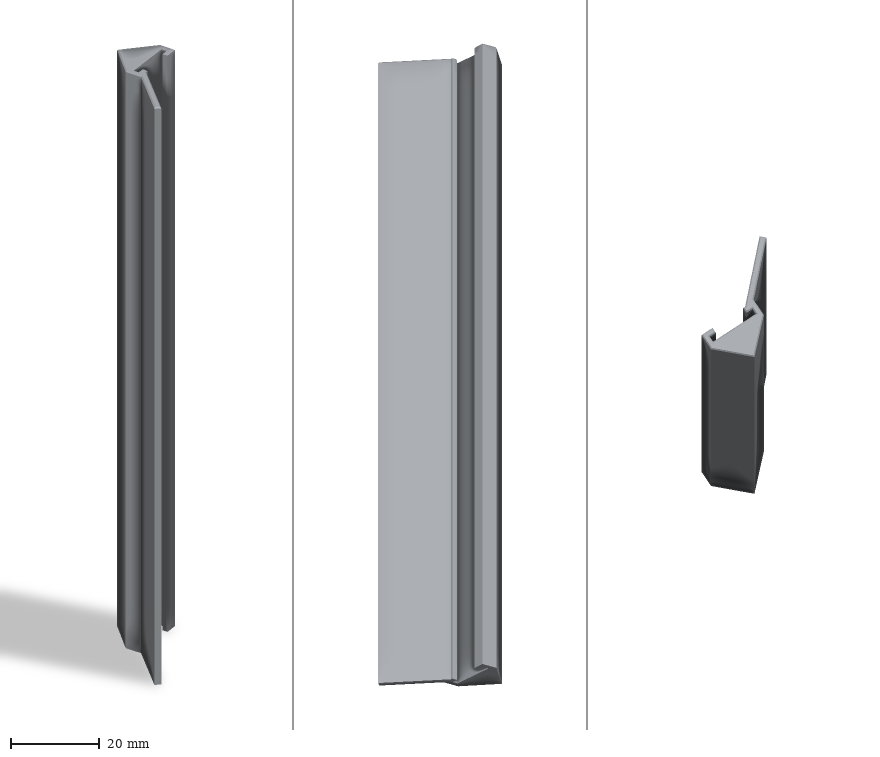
import cadquery as cq

length = 150.0
width = 22.5
depth = 24.6
channel_height = 14.2
channel_width = 10.8
nose_run = 6.9
wall = 1.4
lip_depth = 3.0
slot_floor_x = 8.1
arm_tip_offset = 1.12
end_chamfer = 0.3

nose_y = -channel_height / 2
lip_inner_x = channel_width - wall
tip_low_x = width - arm_tip_offset
tip_high_y = -depth + arm_tip_offset
arm_low_start_x = tip_low_x - (depth - channel_height)
arm_high_start_y = tip_high_y + (width - channel_width)

outline = [
    (0, nose_y),
    (nose_run, 0),
    (channel_width, 0),
    (channel_width, -lip_depth),
    (lip_inner_x, -lip_depth),
    (lip_inner_x, -wall),
    (slot_floor_x, -wall),
    (slot_floor_x, -channel_height + wall),
    (lip_inner_x, -channel_height + wall),
    (lip_inner_x, -channel_height + lip_depth),
    (channel_width, -channel_height + lip_depth),
    (channel_width, arm_high_start_y),
    (width, tip_high_y),
    (tip_low_x, -depth),
    (arm_low_start_x, -channel_height),
    (nose_run, -channel_height),
]

profile = cq.Workplane("XY").polyline(outline).close().extrude(length)

result = profile.faces(">Z").chamfer(end_chamfer)